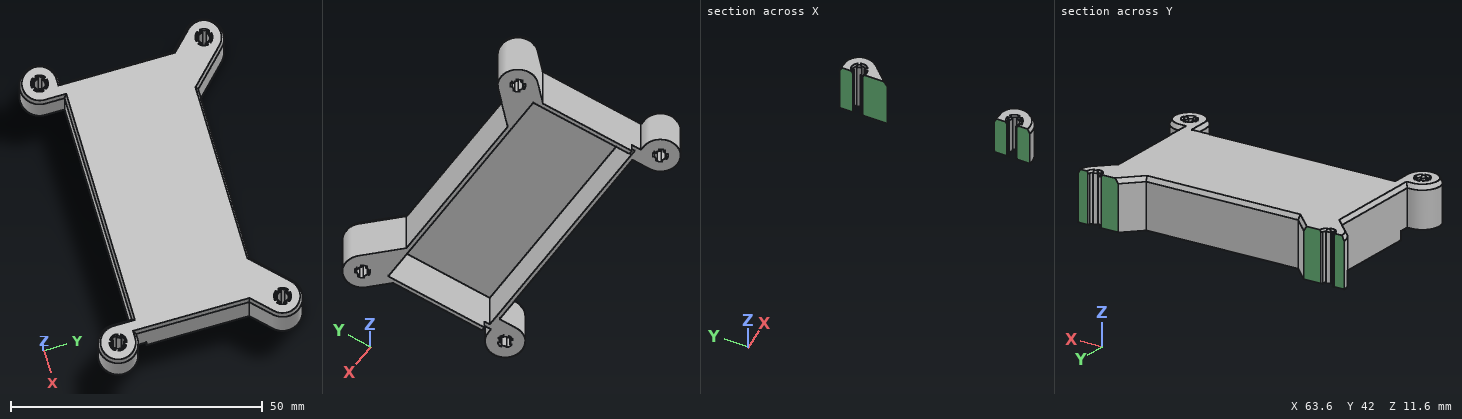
import cadquery as cq
import math

LENGTH = 63.6
WIDTH = 42.0
HEIGHT = 11.6

BOSS_RADIUS = 4.0
BOSS_X = LENGTH / 2 - BOSS_RADIUS
BOSS_Y = WIDTH / 2 - BOSS_RADIUS

CASE_HALF_LENGTH = 26.8
CASE_HALF_WIDTH = BOSS_Y - BOSS_RADIUS
WALL = 0.9

BEVEL_HEIGHT = 1.1
BEVEL_WIDTH = 0.5

STEP_HEIGHT = 2.0
STEP_DEPTH = 10.2

HOLE_RADIUS = 1.5
RIB_TIP_RADIUS = 1.15
RIB_WIDTH = 1.0
RIB_COUNT = 4
RIB_ANGLE = 24.0
FLARE_WIDTH = 0.205
FLARE_DEPTH = 0.6


def right_half_outline():
    """Outline from the front centre, round both right-hand bosses, to the rear centre."""
    left_of_boss = BOSS_X - BOSS_RADIUS
    rear_of_front_boss = -BOSS_Y + BOSS_RADIUS
    diagonal = BOSS_RADIUS / math.sqrt(2)
    arm_side_y = BOSS_Y - 2 * diagonal - (BOSS_X - CASE_HALF_LENGTH)
    arm_rear_x = BOSS_X - 2 * diagonal - (BOSS_Y - CASE_HALF_WIDTH)
    return (
        cq.Workplane("XY")
        .moveTo(0, -CASE_HALF_WIDTH)
        .lineTo(left_of_boss, -CASE_HALF_WIDTH)
        .lineTo(left_of_boss, -BOSS_Y)
        .threePointArc((BOSS_X + diagonal, -BOSS_Y - diagonal), (BOSS_X, rear_of_front_boss))
        .lineTo(CASE_HALF_LENGTH, rear_of_front_boss)
        .lineTo(CASE_HALF_LENGTH, arm_side_y)
        .lineTo(BOSS_X + diagonal, BOSS_Y - diagonal)
        .threePointArc((BOSS_X + diagonal, BOSS_Y + diagonal), (BOSS_X - diagonal, BOSS_Y + diagonal))
        .lineTo(arm_rear_x, CASE_HALF_WIDTH)
        .lineTo(0, CASE_HALF_WIDTH)
    )


def body():
    block = right_half_outline().mirrorY().extrude(HEIGHT)
    return block.faces(">Z").chamfer(BEVEL_HEIGHT, BEVEL_WIDTH)


def cavity():
    return cq.Workplane("XY").box(
        2 * (CASE_HALF_LENGTH - WALL),
        2 * (CASE_HALF_WIDTH - WALL),
        HEIGHT - WALL,
        centered=(True, True, False),
    )


def front_step():
    step = cq.Workplane("XY").box(LENGTH, STEP_DEPTH, STEP_HEIGHT, centered=(True, False, False))
    return step.translate((0, -WIDTH / 2, 0))


def turned(shape, angle):
    return shape.rotate((0, 0, 0), (0, 0, 1), angle)


def ribbed_prism(bottom, height, widening):
    """Stretch of a hole that widens evenly towards its top while its ribs get narrower."""
    lean = math.degrees(math.atan2(widening, height))
    base = cq.Workplane("XY", origin=(0, 0, bottom))
    hole = base.circle(HOLE_RADIUS).extrude(height, taper=-lean)
    rib = base.center(HOLE_RADIUS, 0).rect(2 * HOLE_RADIUS, RIB_WIDTH).extrude(height, taper=lean)
    for number in range(RIB_COUNT):
        hole = hole.cut(turned(rib, number * 360 / RIB_COUNT))
    rib_tips = base.circle(RIB_TIP_RADIUS).extrude(height, taper=-lean)
    return hole.union(rib_tips)


def ribbed_hole():
    bore = ribbed_prism(0, HEIGHT, 0)
    flare = ribbed_prism(HEIGHT - FLARE_DEPTH, FLARE_DEPTH, FLARE_WIDTH)
    return bore.union(flare)


result = body().cut(cavity()).cut(front_step())

HOLE_PLACES = [
    (-BOSS_X, BOSS_Y, RIB_ANGLE),
    (BOSS_X, BOSS_Y, RIB_ANGLE),
    (-BOSS_X, -BOSS_Y, RIB_ANGLE),
    (BOSS_X, -BOSS_Y, -RIB_ANGLE),
]
screw_hole = ribbed_hole()
for hole_x, hole_y, rib_angle in HOLE_PLACES:
    result = result.cut(turned(screw_hole, rib_angle).translate((hole_x, hole_y, 0)))